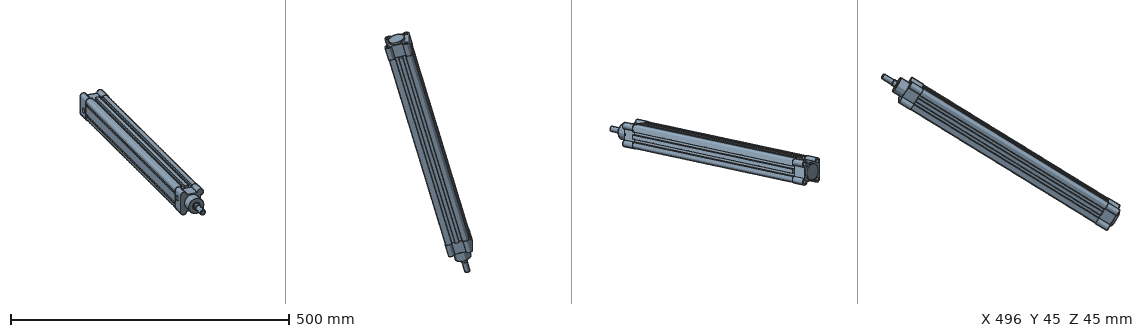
import cadquery as cq

total_length = 496.0
pilot_height = 4.0
rear_cover_end = 29.0
head_start = 423.0
head_face = 447.5
collar_end = 465.5
wiper_end = 467.5
thread_start = 475.0

cover_side = 45.0
bolt_pitch = 32.5
corner_reach = bolt_pitch / 2
lobe_radius = cover_side / 2 - corner_reach
recess_floor = 17.0
pilot_diameter = 30.0
screw_hole_diameter = 6.0
screw_hole_depth = 10.0

port_diameter = 9.5
port_depth = 10.0
port_offset = 5.0
rear_port_x = 19.5
front_port_x = 432.0

barrel_side = 43.5
rib_width = 7.5
slot_width = 6.0
slot_depth = 5.0
groove_inner = 9.0
groove_floor_width = 1.5
groove_depth = 8.0
groove_mouth_width = 3.5

rod_diameter = 12.0
thread_diameter = 10.0
thread_chamfer = 1.0
shoulder_chamfer = 1.0
wiper_diameter = 15.0
wiper_tip_diameter = 12.5
flats_across = 11.0
flats_start = wiper_end
flats_end = 473.0


def disc(diameter, start, end, y=0.0, z=0.0):
    """Round bar along X between two stations."""
    plane = cq.Workplane("YZ", origin=(start, y, z))
    return plane.circle(diameter / 2).extrude(end - start)


def block(start, end, y_range, z_range):
    """Rectangular bar along X between two stations."""
    size = (end - start, y_range[1] - y_range[0], z_range[1] - z_range[0])
    corner = (start, y_range[0], z_range[0])
    return cq.Workplane("XY").box(*size, centered=False).translate(corner)


def cover_body(start, end):
    """Cover with recesses on the +Y, +Z and -Z sides and a flat -Y side."""
    core_z = (-recess_floor, recess_floor)
    flat_z = (-corner_reach, corner_reach)
    body = block(start, end, (-corner_reach, recess_floor), core_z)
    body = body.union(block(start, end, (-cover_side / 2, -corner_reach), flat_z))
    for y in flat_z:
        for z in flat_z:
            body = body.union(disc(2 * lobe_radius, start, end, y, z))
    return body


def port(x, z):
    """Blind air port drilled from the -Y side."""
    plane = cq.Workplane("XZ", origin=(x, -cover_side / 2, z))
    return plane.circle(port_diameter / 2).extrude(-port_depth)


def make_rear_cover():
    """Rear cover with its pilot disc, corner screw holes and air port."""
    cover = cover_body(pilot_height, rear_cover_end)
    cover = cover.union(disc(pilot_diameter, 0, pilot_height))
    hole_end = pilot_height + screw_hole_depth
    for y in (-corner_reach, corner_reach):
        for z in (-corner_reach, corner_reach):
            cover = cover.cut(disc(screw_hole_diameter, pilot_height, hole_end, y, z))
    return cover.cut(port(rear_port_x, -port_offset))


def make_front_cover():
    """Front cover with its collar, tapered wiper, rod bore and air port."""
    cover = cover_body(head_start, head_face)
    cover = cover.union(disc(pilot_diameter, head_face, collar_end))
    wiper = (
        cq.Workplane("YZ", origin=(collar_end, 0, 0))
        .circle(wiper_diameter / 2)
        .workplane(offset=wiper_end - collar_end)
        .circle(wiper_tip_diameter / 2)
        .loft()
    )
    cover = cover.union(wiper)
    cover = cover.cut(disc(rod_diameter, head_start, wiper_end))
    return cover.cut(port(front_port_x, port_offset))


def barrel_groove(side):
    """Groove in the -Y side with a straight inner wall and a sloping outer wall."""
    face_y = -barrel_side / 2
    floor_y = face_y + groove_depth
    outline = [
        (face_y, side * groove_inner),
        (floor_y, side * groove_inner),
        (floor_y, side * (groove_inner + groove_floor_width)),
        (face_y, side * (groove_inner + groove_mouth_width)),
    ]
    plane = cq.Workplane("YZ", origin=(rear_cover_end, 0, 0))
    return plane.polyline(outline).close().extrude(head_start - rear_cover_end)


def make_barrel():
    """Profile barrel with slot pairs on three sides and two grooves on the -Y side."""
    length = head_start - rear_cover_end
    half = barrel_side / 2
    plane = cq.Workplane("YZ", origin=(rear_cover_end, 0, 0))
    barrel = plane.rect(barrel_side, barrel_side).extrude(length)
    barrel = barrel.edges("|X").fillet(half - corner_reach)
    slot_y = (half - slot_depth, half)
    for side in (-1, 1):
        inner = side * rib_width / 2
        outer = side * (rib_width / 2 + slot_width)
        slot_z = (min(inner, outer), max(inner, outer))
        slot = block(rear_cover_end, head_start, slot_y, slot_z)
        for turn in (-90, 0, 90):
            barrel = barrel.cut(slot.rotate((0, 0, 0), (1, 0, 0), turn))
        barrel = barrel.cut(barrel_groove(side))
    return barrel


def make_rod():
    """Piston rod with wrench flats and a chamfered thread end."""
    thread = disc(thread_diameter, thread_start, total_length)
    thread = thread.faces(">X").chamfer(thread_chamfer)
    rod = disc(rod_diameter, head_start, thread_start)
    rod = rod.faces(">X").chamfer(shoulder_chamfer).union(thread)
    for y_range in ((-rod_diameter, -flats_across / 2), (flats_across / 2, rod_diameter)):
        z_range = (-rod_diameter, rod_diameter)
        rod = rod.cut(block(flats_start, flats_end, y_range, z_range))
    return rod


rear_cover = make_rear_cover()
barrel = make_barrel()
front_cover = make_front_cover()
rod = make_rod()

result = cq.Compound.makeCompound(
    [rear_cover.val(), barrel.val(), front_cover.val(), rod.val()]
)